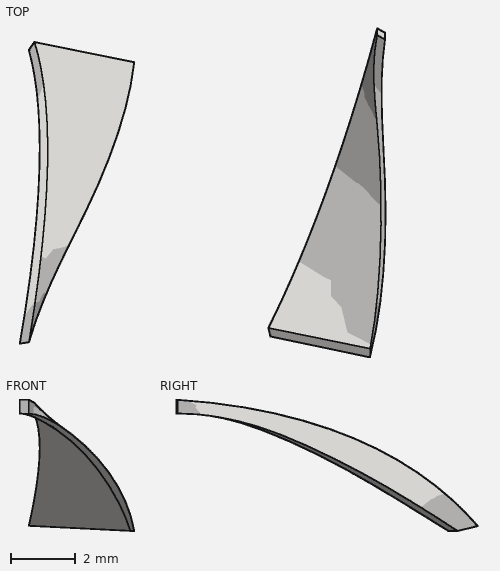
import cadquery as cq

height = 4.06
base_y = 9.34
tip_width = 0.29
tip_height = 0.43
tip_skew = 0.05
tip_bottom = height - tip_height

left_outer_base = (0.28, 9.09, 0.16)
left_inner_base = (0.46, base_y, 0.15)
right_upper_base = (3.55, 8.71, 0.0)
right_lower_base = (3.43, 8.425, 0.0)


def rail(*points):
    """Smooth edge running from the tip to the base."""
    return cq.Edge.makeSpline([cq.Vector(*point) for point in points])


left_outer = rail(
    (0, 0, height),
    (0.41, 2.8, 3.69),
    (0.62, 5.91, 2.64),
    left_outer_base,
)
left_inner = rail(
    (tip_width, tip_skew, height),
    (0.67, 2.8, 3.7),
    (0.87, 5.91, 2.69),
    left_inner_base,
)
right_upper = rail(
    (tip_width, tip_skew, tip_bottom),
    (0.98, 1.9, 3.41),
    (2.24, 4.5, 2.43),
    (2.94, 6.21, 1.54),
    right_upper_base,
)
right_lower = rail(
    (0, 0, tip_bottom),
    (0.47, 1.34, 3.51),
    (1.33, 2.97, 3.0),
    (2.56, 5.6, 1.71),
    right_lower_base,
)

rails = [left_outer, left_inner, right_upper, right_lower]
neighbours = list(zip(rails, rails[1:] + rails[:1]))
sides = [cq.Face.makeRuledSurface(first, second) for first, second in neighbours]


def end_face(corners):
    """Four-cornered face closing one end of the blade."""
    first_edge = cq.Edge.makeLine(corners[0], corners[1])
    opposite_edge = cq.Edge.makeLine(corners[3], corners[2])
    return cq.Face.makeRuledSurface(first_edge, opposite_edge)


tip = end_face([edge.startPoint() for edge in rails])
base = end_face([edge.endPoint() for edge in rails])

shell = cq.Shell.makeShell(sides + [tip, base])
blade = cq.Solid.makeSolid(shell).fix()
result = cq.Workplane("XY").newObject([blade])